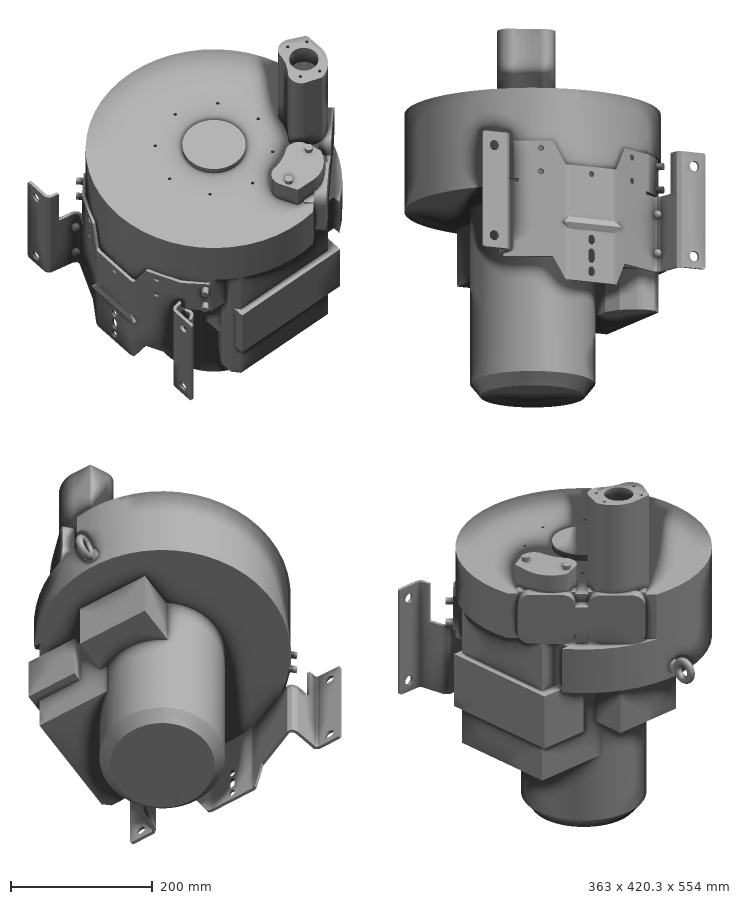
import cadquery as cq
import math

total_height = 554.0

drum_diameter = 363.0
drum_radius = drum_diameter / 2
drum_bottom = 267.0
drum_top = 407.0

cap_radius = 45.0
cap_height = 9.5
screw_hole_circle_radius = 83.0
screw_hole_diameter = 5.0
screw_hole_depth = 11.0
screw_hole_count = 8

motor_radius = 88.5
motor_foot_radius = 74.0
motor_foot_height = 18.0

recess_floor_x = 134.5
recess_back_y = 107.5
recess_ceiling = 336.0

flange_back = 147.5
flange_face = 164.5
flange_inner_end = 9.0
flange_outer_end = 90.5
flange_bottom = recess_ceiling
flange_top = 414.0
flange_corner_radius = 18.5
neck_back = 133.5
neck_end = 91.0
neck_rise = 3.0
bridge_drop = 19.5

silencer_bore_x = 51.0
silencer_bore_y = 124.0
silencer_bore_diameter = 41.5
silencer_bore_depth = 31.0
silencer_hole_diameter = 5.0
silencer_hole_depth = 11.0
silencer_holes = [(30.0, 148.5), (19.0, 122.0), (82.0, 127.0), (71.5, 99.5)]
short_silencer_top = 441.5
cover_bolts = [(111.5, 81.0), (135.5, 21.5)]
cover_bolt_diameter = 11.0
cover_bolt_height = 6.5

terminal_box_half_width = 54.5
terminal_box_back_y = 131.5
terminal_box_bottom = 179.0
terminal_box_top = 261.5
terminal_neck_half_width = 22.0
terminal_neck_back_y = 96.0
side_box_right_x = 156.0
side_box_front_y = -95.0
side_box_back_y = 77.5
side_box_bottom = 119.5
side_box_outline = [
    (0, side_box_back_y),
    (0, -16.5),
    (86.5, -16.5),
    (86.5, -55.5),
    (98.5, -77.5),
    (119.5, -92.5),
    (126.0, side_box_front_y),
    (145.0, side_box_front_y),
    (side_box_right_x, -86.0),
    (side_box_right_x, side_box_back_y),
]
side_lid_right_x = 165.5
side_lid_half_width = 92.0

eye_ring_radius = 14.0
eye_wire_radius = 5.5
eye_centre_y = 204.5
eye_centre_z = 285.0
eye_collar_radius = 10.5
eye_collar_start_y = 184.5
eye_collar_thickness = 5.0
eye_stem_radius = 5.5

sheet = 4.5
bracket_bottom = 163.0
bracket_top = 330.0
tongue_bottom = 129.5
tongue_top = 296.0
tongue_half_width = 40.0
tongue_flat_half_width = 34.5
shoulder_half_width = 56.5
bend_x = 105.0
bend_y = -153.0
tongue_y = -185.0
tongue_bend_y = -183.5
pad_end_x = 133.5
pad_end_y = -124.5
pad_bottom = 276.0
foot_end_x = 175.5
foot_y = -194.0
bracket_cut_depth = -2 * foot_y
foot_bend_x = 138.5
leg_lower_bend = (134.0, -190.5)
leg_upper_bend = (127.0, -154.0)
leg_crown = (123.0, -148.5)
leg_join_x = 117.5
relief_start_x = 101.0
leg_window_bottom = 271.0
leg_window_y = -178.0
foot_hole_x = 158.0
foot_hole_heights = [180.0, 310.0]
foot_hole_diameter = 14.5
foot_corner_radius = 4.0

bolt_heights = [285.0, 319.0]
plate_hole_x = 72.0
plate_hole_diameter = 8.5
tongue_slot_width = 10.0
tongue_slots = [(190.5, 14.0), (167.5, 20.5), (144.5, 14.0)]
rib_height_z = 212.0
rib_half_height = 9.0
rib_half_length = 45.5
rib_straight_half_length = 35.5
rib_depth = 3.5
gusset_radius = 6.5
gusset_heights = [188.5, 244.5]
gusset_x = 121.0
gusset_y = -153.5
pad_bolt_diameter = 10.0
pad_bolt_reach = 195.0


def block(x0, x1, y0, y1, z0, z1):
    """Axis-aligned box between two corners."""
    return cq.Workplane("XY").box(x1 - x0, y1 - y0, z1 - z0, centered=False).translate((x0, y0, z0))


def disc(radius, z0, z1):
    """Cylinder on the blower axis."""
    return cq.Workplane("XY").workplane(offset=z0).circle(radius).extrude(z1 - z0)


def mirrored_pair(body):
    """The body joined with its mirror image across the YZ plane."""
    return body.union(body.mirror("YZ"))


def mirrored_on_diagonal(body):
    """Mirror image of the body across the vertical plane Y = X."""
    return body.mirror("YZ").rotate((0, 0, 0), (0, 0, 1), -90)


def diagonal_block(d0, d1, u0, u1, z0, z1):
    """Box at distance d along the +X+Y diagonal and u across it, towards +X-Y."""
    return block(d0, d1, -u1, -u0, z0, z1).rotate((0, 0, 0), (0, 0, 1), 45)


def drum():
    body = disc(drum_radius, drum_bottom, drum_top)
    recess = block(recess_floor_x, 2 * drum_radius, -drum_radius, recess_back_y, drum_bottom, recess_ceiling)
    in_front_of_port = diagonal_block(
        flange_back, 2 * drum_radius, -drum_radius, drum_radius, recess_ceiling, drum_top
    )
    body = body.cut(recess).cut(in_front_of_port)
    body = body.union(disc(cap_radius, drum_top, drum_top + cap_height))
    screw_holes = (
        cq.Workplane("XY")
        .workplane(offset=drum_top)
        .polarArray(screw_hole_circle_radius, 0, 360, screw_hole_count)
        .circle(screw_hole_diameter / 2)
        .extrude(-screw_hole_depth)
    )
    return body.cut(screw_holes)


def motor():
    profile = [
        (0, 0),
        (motor_foot_radius, 0),
        (motor_radius, motor_foot_height),
        (motor_radius, drum_bottom),
        (0, drum_bottom),
    ]
    return cq.Workplane("XZ").polyline(profile).close().revolve(360, (0, 0), (0, 1))


def motor_boxes():
    back_box = block(
        -terminal_box_half_width, terminal_box_half_width, 0, terminal_box_back_y,
        terminal_box_bottom, terminal_box_top,
    )
    side_box = (
        cq.Workplane("XY")
        .workplane(offset=side_box_bottom)
        .polyline(side_box_outline)
        .close()
        .extrude(recess_ceiling - side_box_bottom)
    )
    side_lid = block(
        motor_radius, side_lid_right_x, -side_lid_half_width, side_lid_half_width,
        terminal_box_bottom, terminal_box_top,
    )
    neck = block(
        -terminal_neck_half_width, terminal_neck_half_width, 0, terminal_neck_back_y,
        terminal_box_top, drum_bottom,
    )
    return back_box.union(neck).union(side_box).union(side_lid)


def port_flanges():
    body = diagonal_block(
        flange_back, flange_face, -flange_inner_end, flange_inner_end,
        flange_bottom, flange_top - bridge_drop,
    )
    flange = block(flange_back, flange_face, flange_inner_end, flange_outer_end, flange_bottom, flange_top)
    flange = flange.edges("|X").fillet(flange_corner_radius)
    flange = flange.rotate((0, 0, 0), (0, 0, 1), 45)
    neck = diagonal_block(
        neck_back, flange_back, -neck_end, -flange_inner_end, flange_bottom, drum_top + neck_rise
    )
    port = flange.union(neck)
    return body.union(port).union(mirrored_on_diagonal(port))


def silencer(top):
    """Kidney-shaped column standing on the drum."""
    return (
        cq.Workplane("XY")
        .workplane(offset=drum_top)
        .moveTo(19.0, 150.5)
        .lineTo(21.5, 155.5)
        .lineTo(50.0, 156.0)
        .threePointArc((77.5, 146.0), (93.0, 122.0))
        .lineTo(84.0, 96.0)
        .threePointArc((71.0, 86.5), (54.5, 91.5))
        .threePointArc((40.5, 99.0), (25.5, 103.5))
        .threePointArc((11.5, 110.0), (9.0, 130.0))
        .close()
        .extrude(top - drum_top)
    )


def tall_silencer():
    top_face = cq.Workplane("XY").workplane(offset=total_height)
    bore = (
        top_face.center(silencer_bore_x, silencer_bore_y)
        .circle(silencer_bore_diameter / 2)
        .extrude(-silencer_bore_depth)
    )
    screw_holes = (
        top_face.pushPoints(silencer_holes).circle(silencer_hole_diameter / 2).extrude(-silencer_hole_depth)
    )
    return silencer(total_height).cut(bore).cut(screw_holes)


def short_silencer():
    """The same column mirrored across the +X+Y diagonal, closed by two bolts."""
    body = mirrored_on_diagonal(silencer(short_silencer_top))
    bolts = (
        cq.Workplane("XY")
        .workplane(offset=short_silencer_top)
        .pushPoints(cover_bolts)
        .circle(cover_bolt_diameter / 2)
        .extrude(cover_bolt_height)
    )
    return body.union(bolts)


def y_rod(radius, y0, y1, z):
    """Round rod along Y at X = 0."""
    return cq.Workplane(cq.Solid.makeCylinder(radius, y1 - y0, cq.Vector(0, y0, z), cq.Vector(0, 1, 0)))


def lifting_eye():
    ring = cq.Workplane(
        cq.Solid.makeTorus(
            eye_ring_radius, eye_wire_radius, cq.Vector(0, eye_centre_y, eye_centre_z), cq.Vector(1, 0, 0)
        )
    )
    collar_end = eye_collar_start_y + eye_collar_thickness
    collar = y_rod(eye_collar_radius, eye_collar_start_y, collar_end, eye_centre_z)
    stem = y_rod(eye_stem_radius, motor_radius, eye_centre_y - eye_ring_radius, eye_centre_z)
    return ring.union(collar).union(stem)


def bent_sheet(path, z0, z1):
    """Sheet standing along Z whose mid-line follows the path, rounded at each bend."""
    height = z1 - z0
    body = None
    for (xa, ya), (xb, yb) in zip(path, path[1:]):
        length = math.hypot(xb - xa, yb - ya)
        angle = math.degrees(math.atan2(yb - ya, xb - xa))
        leaf = block(0, length, -sheet / 2, sheet / 2, 0, height)
        leaf = leaf.rotate((0, 0, 0), (0, 0, 1), angle).translate((xa, ya, z0))
        body = leaf if body is None else body.union(leaf)
    for x, y in path[1:-1]:
        body = body.union(disc(sheet / 2, z0, z1).translate((x, y, 0)))
    return body


def y_holes(points, diameter):
    """Round cutters along Y, reaching from behind the bracket to its front."""
    return cq.Workplane("XZ").pushPoints(points).circle(diameter / 2).extrude(bracket_cut_depth)


def bracket_plate():
    """Front plate with two sloped wings and a longer, lower tongue in the middle."""
    right_path = [
        (tongue_flat_half_width, tongue_y),
        (tongue_half_width, tongue_bend_y),
        (bend_x, bend_y),
    ]
    path = [(-x, y) for x, y in reversed(right_path)] + right_path
    right_side = [
        (tongue_half_width, tongue_bottom),
        (shoulder_half_width, bracket_bottom),
        (foot_end_x, bracket_bottom),
        (foot_end_x, bracket_top),
        (shoulder_half_width, bracket_top),
        (tongue_half_width, tongue_top),
    ]
    left_side = [(-x, z) for x, z in reversed(right_side)]
    outline = cq.Workplane("XZ").polyline(right_side + left_side).close().extrude(bracket_cut_depth)
    plate = bent_sheet(path, tongue_bottom, bracket_top).intersect(outline)

    wing_holes = [(side * plate_hole_x, z) for side in (-1, 1) for z in bolt_heights]
    plate = plate.cut(y_holes(wing_holes + [(0, bolt_heights[0])], plate_hole_diameter))
    for z, length in tongue_slots:
        slot = cq.Workplane("XZ").center(0, z).slot2D(length, tongue_slot_width, 90).extrude(bracket_cut_depth)
        plate = plate.cut(slot)
    relief = block(relief_start_x, foot_end_x, foot_y, 0, leg_window_bottom, pad_bottom)
    return plate.cut(mirrored_pair(relief)).union(stiffening_rib())


def stiffening_rib():
    """Roof-shaped bead across the tongue, pointed at both ends."""
    face_y = tongue_y - sheet / 2
    section = [
        (tongue_y, rib_height_z - rib_half_height),
        (face_y, rib_height_z - rib_half_height),
        (face_y - rib_depth, rib_height_z),
        (face_y, rib_height_z + rib_half_height),
        (tongue_y, rib_height_z + rib_half_height),
    ]
    roof = (
        cq.Workplane("YZ")
        .workplane(offset=-rib_half_length)
        .polyline(section)
        .close()
        .extrude(2 * rib_half_length)
    )
    outline = [
        (-rib_half_length, rib_height_z),
        (-rib_straight_half_length, rib_height_z + rib_half_height),
        (rib_straight_half_length, rib_height_z + rib_half_height),
        (rib_half_length, rib_height_z),
        (rib_straight_half_length, rib_height_z - rib_half_height),
        (-rib_straight_half_length, rib_height_z - rib_half_height),
    ]
    return roof.intersect(cq.Workplane("XZ").polyline(outline).close().extrude(bracket_cut_depth))


def right_leg():
    """Leg and foot flange on the +X side, with gussets in the upper bend.

    Its last leaf continues the sloped wing of the plate in the same plane.
    """
    wing_slope = (bend_y - tongue_bend_y) / (bend_x - tongue_half_width)
    path = [
        (foot_end_x, foot_y),
        (foot_bend_x, foot_y),
        leg_lower_bend,
        leg_upper_bend,
        leg_crown,
        (leg_join_x, bend_y + wing_slope * (leg_join_x - bend_x)),
        (bend_x, bend_y),
    ]
    leg = bent_sheet(path, bracket_bottom, bracket_top)
    window = block(0, foot_end_x, leg_window_y, 0, leg_window_bottom, bracket_top)
    leg = leg.cut(window)
    leg = leg.edges("|Y").edges(">X").fillet(foot_corner_radius)
    leg = leg.cut(y_holes([(foot_hole_x, z) for z in foot_hole_heights], foot_hole_diameter))
    for z in gusset_heights:
        gusset = cq.Workplane("XY").sphere(gusset_radius).translate((gusset_x, gusset_y, z))
        leg = leg.union(gusset)
    return leg


def right_pad():
    """Tab lying on the drum at 45 degrees, held by two bolts."""
    pad = bent_sheet([(bend_x, bend_y), (pad_end_x, pad_end_y)], pad_bottom, bracket_top)
    for z in bolt_heights:
        bolt = cq.Solid.makeCylinder(
            pad_bolt_diameter / 2,
            pad_bolt_reach - flange_back,
            cq.Vector(flange_back / math.sqrt(2), -flange_back / math.sqrt(2), z),
            cq.Vector(1, -1, 0),
        )
        pad = pad.union(cq.Workplane(bolt))
    return pad


result = (
    drum()
    .union(motor())
    .union(motor_boxes())
    .union(port_flanges())
    .union(tall_silencer())
    .union(short_silencer())
    .union(lifting_eye())
    .union(bracket_plate())
    .union(mirrored_pair(right_leg()))
    .union(mirrored_pair(right_pad()))
)